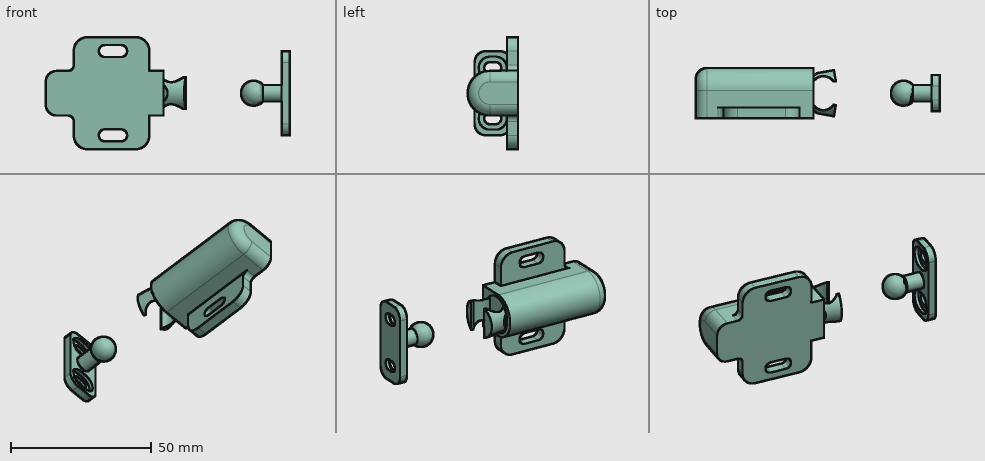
import cadquery as cq
import math

housing_length = 42.0
housing_half_width = 8.0
housing_height = 18.0
dome_axis_y = housing_height - housing_half_width
housing_end_fillet = 4.0

flange_start_x = 10.0
flange_length = 27.0
flange_width = 40.0
flange_thickness = 4.0
flange_corner_radius = 5.0
flange_inner_fillet = 2.0
flange_slot_length = 10.0
flange_slot_width = 4.2
flange_slot_x = 24.0
flange_slot_offset = 15.0

catch_axis_y = 9.0
ball_diameter = 9.0

jaw_spread_angle = 10.0
jaw_outer_radius = 6.0
jaw_seat_radius = ball_diameter / 2
jaw_reach = 4.9
jaw_lip_height = 1.9
jaw_bevel_start = -1.0
jaw_bevel_angle = 23.5
jaw_seat_x = 45.5
jaw_seat_offset = 1.5
foot_radius = 7.0
foot_thickness = 3.0

plate_far_x = 87.0
plate_thickness = 3.0
plate_width = 13.0
plate_length = 30.0
plate_corner_radius = 4.0
plate_near_x = plate_far_x - plate_thickness
plate_slot_offset = 9.0
plate_slot_length = 6.0
plate_slot_width = 4.0
counterbore_margin = 2.0
counterbore_depth = 1.5
ball_x = 74.0
stem_diameter = 6.0


def x_cylinder(start_x, length, radius):
    """A cylinder along X on the catch centre line."""
    plane = cq.Workplane("YZ", origin=(start_x, catch_axis_y, 0))
    return plane.circle(radius).extrude(length)


def housing_body():
    """D-section bar, rounded over at its closed end but square on its flat back."""
    bar = (
        cq.Workplane("YZ")
        .moveTo(0, -housing_half_width)
        .lineTo(dome_axis_y, -housing_half_width)
        .threePointArc((housing_height, 0), (dome_axis_y, housing_half_width))
        .lineTo(0, housing_half_width)
        .close()
        .extrude(housing_length)
    )
    reach = housing_half_width / 2
    flat_back_edge = cq.selectors.BoxSelector((-reach, -reach, -reach), (reach, reach, reach))
    end_edges = bar.faces("<X").edges(cq.selectors.InverseSelector(flat_back_edge))
    return end_edges.fillet(housing_end_fillet)


def housing_flange():
    """Rounded screw flange reaching beyond both sides of the body."""
    centre_x = flange_start_x + flange_length / 2
    return (
        cq.Workplane("XY")
        .box(flange_length, flange_thickness, flange_width)
        .edges("|Y")
        .fillet(flange_corner_radius)
        .translate((centre_x, flange_thickness / 2, 0))
    )


def flange_slots():
    return (
        cq.Workplane("XZ")
        .pushPoints([(flange_slot_x, side * flange_slot_offset) for side in (-1, 1)])
        .slot2D(flange_slot_length, flange_slot_width)
        .extrude(-flange_thickness)
    )


def claw_foot():
    return x_cylinder(housing_length - foot_thickness, foot_thickness, foot_radius)


def make_housing():
    housing = housing_body().union(housing_flange())
    corner_reach = flange_inner_fillet / 2
    corner_edges = cq.Workplane("XY")
    for side in (-1, 1):
        corner_z = side * housing_half_width
        corner = cq.selectors.BoxSelector(
            (flange_start_x - corner_reach, 0, corner_z - corner_reach),
            (flange_start_x + corner_reach, flange_thickness, corner_z + corner_reach),
        )
        corner_edges = corner_edges.add(housing.edges("|Y").edges(corner))
    housing = housing.newObject(corner_edges.vals()).fillet(flange_inner_fillet)
    return housing.cut(flange_slots()).cut(claw_foot())


def make_jaw():
    """Upper jaw, a slice of a round bar scooped out by the ball seat and tilted outward."""
    seat_half_length = math.sqrt(jaw_seat_radius**2 - jaw_lip_height**2)
    bevel_length = seat_half_length + jaw_bevel_start
    bevel_drop = bevel_length * math.tan(math.radians(jaw_bevel_angle))
    side_profile = (
        cq.Workplane("XY", origin=(0, 0, -jaw_outer_radius))
        .moveTo(-seat_half_length, jaw_lip_height)
        .threePointArc((0, jaw_seat_radius), (seat_half_length, jaw_lip_height))
        .lineTo(jaw_reach, jaw_lip_height)
        .lineTo(jaw_reach, jaw_outer_radius)
        .lineTo(jaw_bevel_start, jaw_outer_radius)
        .lineTo(-seat_half_length, jaw_outer_radius - bevel_drop)
        .close()
        .extrude(2 * jaw_outer_radius)
    )
    round_bar = cq.Workplane("YZ").circle(jaw_outer_radius).extrude(jaw_reach, both=True)
    return (
        round_bar.intersect(side_profile)
        .rotate((0, 0, 0), (0, 0, 1), jaw_spread_angle)
        .translate((jaw_seat_x, catch_axis_y + jaw_seat_offset, 0))
    )


def make_claw():
    upper_jaw = make_jaw()
    lower_jaw = upper_jaw.mirror("XZ", (0, catch_axis_y, 0))
    return claw_foot().union(upper_jaw).union(lower_jaw)


def plate_slots(length, width, depth):
    """Slots along Y, sunk into the plate from its ball side."""
    return (
        cq.Workplane("YZ", origin=(plate_near_x, catch_axis_y, 0))
        .pushPoints([(0, side * plate_slot_offset) for side in (-1, 1)])
        .slot2D(length, width)
        .extrude(depth)
    )


def make_striker():
    plate = (
        cq.Workplane("YZ", origin=(plate_near_x, catch_axis_y, 0))
        .rect(plate_width, plate_length)
        .extrude(plate_thickness)
        .edges("|X")
        .fillet(plate_corner_radius)
    )
    counterbore_length = plate_slot_length + 2 * counterbore_margin
    counterbore_width = plate_slot_width + 2 * counterbore_margin
    plate = plate.cut(plate_slots(plate_slot_length, plate_slot_width, plate_thickness))
    plate = plate.cut(plate_slots(counterbore_length, counterbore_width, counterbore_depth))
    stem = x_cylinder(ball_x, plate_near_x - ball_x, stem_diameter / 2)
    ball = cq.Workplane("XY").sphere(ball_diameter / 2).translate((ball_x, catch_axis_y, 0))
    return plate.union(stem).union(ball)


housing = make_housing()
claw = make_claw()
striker = make_striker()

result = cq.Compound.makeCompound([body.solids().val() for body in (housing, claw, striker)])